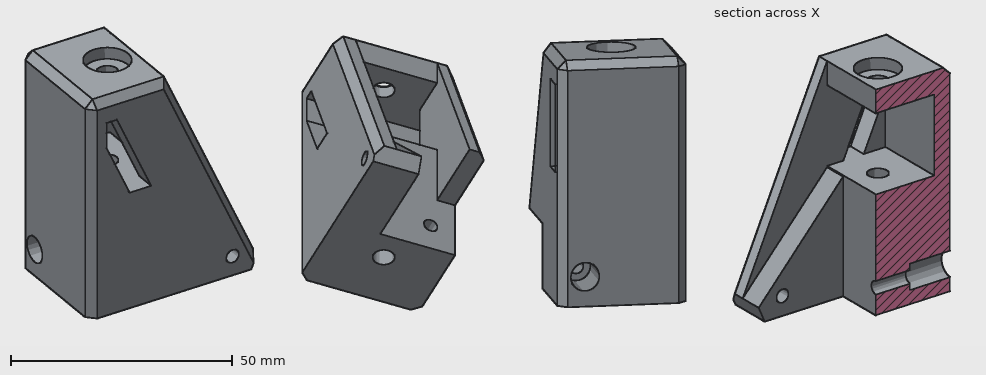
import cadquery as cq

width = 29.45
length = 44.65
height = 56.6
edge_chamfer = 2.0

body_depth = 20.95
tip_height = 3.95
arm_foot_y = 42.95

left_wall = 4.4
left_wall_bottom = 15.05
right_wall_inner_x = 24.4
block_inner_x = 18.35
block_top_z = 30.0

window_front_y = 4.5
window_back_y = 11.0
window_bottom = 30.35
window_top = 50.55

slot_front_y = 1.5
slot_run = 5.7

top_hole_x = 14.55
top_hole_y = 14.0
top_hole_diameter = 5.0
top_bore_diameter = 11.0
top_bore_depth = 3.0
front_hole_x = 6.0
front_hole_z = 6.9
front_hole_diameter = 3.3
front_bore_diameter = 6.5
front_bore_depth = 11.3
pivot_y = 38.0
pivot_z = 5.05
pivot_diameter = 3.35

back_slope = (length - body_depth) / (height - tip_height)


def box(x0, x1, y0, y1, z0, z1):
    """Axis-aligned box between two opposite corners."""
    return cq.Workplane("XY").box(x1 - x0, y1 - y0, z1 - z0, centered=False).translate((x0, y0, z0))


def side_prism(points, x0, x1):
    """Prism with a (Y, Z) outline, running from x0 to x1."""
    return cq.Workplane("YZ", origin=(x0, 0, 0)).polyline(points).close().extrude(x1 - x0)


def outer_shell():
    """Full-width wedge with its front, top and back-slope edges chamfered."""
    outline = [(0, 0), (arm_foot_y, 0), (length, tip_height), (body_depth, height), (0, height)]
    wedge = side_prism(outline, 0, width)
    slope_middle = (width / 2, (body_depth + length) / 2, (height + tip_height) / 2)
    slope_face = cq.selectors.NearestToPointSelector(slope_middle)
    slope_edges = wedge.faces(slope_face).edges("not |X")
    top_edges = wedge.faces(">Z").edges("|Y")
    front_edges = wedge.faces("<Y").edges("|Z")
    front_top_edge = wedge.faces("<Y").edges(">Z")
    chamfered_edges = slope_edges.add(top_edges).add(front_edges).add(front_top_edge)
    return chamfered_edges.chamfer(edge_chamfer)


def rear_cuts():
    """Space between the rear walls, under the left wall and over the pivot block."""
    between_walls = box(left_wall, block_inner_x, body_depth, length, 0, height)
    under_left_wall = box(0, left_wall, body_depth, length, 0, left_wall_bottom)
    over_block = side_prism(
        [(body_depth, block_top_z), (length, tip_height), (length, height), (body_depth, height)],
        block_inner_x,
        right_wall_inner_x,
    )
    return between_walls.union(under_left_wall).union(over_block)


def window_and_chamber():
    """Side window opening into a chamber that is open at the back of the body."""
    window = box(0, left_wall, window_front_y, window_back_y, window_bottom, window_top)
    chamber = box(
        left_wall, right_wall_inner_x, window_front_y, body_depth, window_bottom, window_top
    )
    return window.union(chamber)


def sloping_slot():
    """Slot through the +X wall, sloping like the back of the part."""
    shift = back_slope * (window_top - window_bottom)
    outline = [
        (slot_front_y, window_top),
        (slot_front_y + slot_run, window_top),
        (slot_front_y + slot_run + shift, window_bottom),
        (slot_front_y + shift, window_bottom),
    ]
    slot = side_prism(outline, right_wall_inner_x, width)
    return slot.intersect(box(0, width, window_front_y, length, 0, height))


def screw_holes():
    """Counterbored top and front holes, and the plain pivot hole through the arm."""
    top_hole = cq.Workplane("XY").center(top_hole_x, top_hole_y).circle(top_hole_diameter / 2)
    top_hole = top_hole.extrude(height)
    top_bore = cq.Workplane("XY", origin=(top_hole_x, top_hole_y, height - top_bore_depth))
    top_bore = top_bore.circle(top_bore_diameter / 2).extrude(top_bore_depth)

    front_plane = cq.Workplane("XZ").center(front_hole_x, front_hole_z)
    front_hole = front_plane.circle(front_hole_diameter / 2).extrude(-body_depth)
    front_bore = front_plane.circle(front_bore_diameter / 2).extrude(-front_bore_depth)

    pivot_hole = cq.Workplane("YZ").center(pivot_y, pivot_z).circle(pivot_diameter / 2).extrude(width)
    return top_hole.union(top_bore).union(front_hole).union(front_bore).union(pivot_hole)


result = outer_shell()
result = result.cut(rear_cuts())
result = result.cut(window_and_chamber())
result = result.cut(sloping_slot())
result = result.cut(screw_holes())